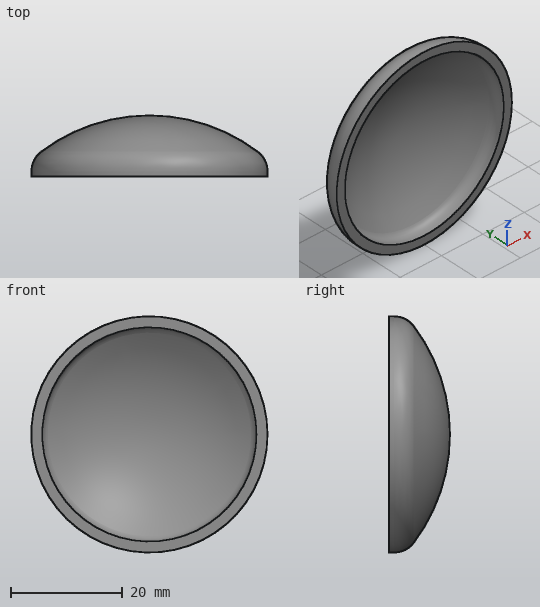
import cadquery as cq
import math

rim_radius = 21.2
height = 11.0
wall = 2.0
band_height = 0.95
shoulder_radius = 4.4

shoulder_x = rim_radius - shoulder_radius
shoulder_y = band_height

rise = height - shoulder_y
dome_radius = (shoulder_x**2 + rise**2 - shoulder_radius**2) / (2 * (rise - shoulder_radius))
dome_center_y = height - dome_radius

tangent_angle = math.atan2(shoulder_y - dome_center_y, shoulder_x)


def arc_point(center, radius, angle):
    """Point on an arc in the radial half-section."""
    return (center[0] + radius * math.cos(angle), center[1] + radius * math.sin(angle))


def dome_solid(inset):
    """Solid dome bounded by the outer surface moved inward by inset."""
    shoulder_center = (shoulder_x, shoulder_y)
    dome_center = (0, dome_center_y)
    radius = shoulder_radius - inset
    crown_radius = dome_radius - inset
    crown_mid_angle = (tangent_angle + math.pi / 2) / 2
    return (
        cq.Workplane("XY")
        .lineTo(rim_radius - inset, 0)
        .lineTo(rim_radius - inset, band_height)
        .threePointArc(
            arc_point(shoulder_center, radius, tangent_angle / 2),
            arc_point(shoulder_center, radius, tangent_angle),
        )
        .threePointArc(
            arc_point(dome_center, crown_radius, crown_mid_angle),
            (0, height - inset),
        )
        .close()
        .revolve(360, (0, 0, 0), (0, 1, 0))
    )


result = dome_solid(0).cut(dome_solid(wall))